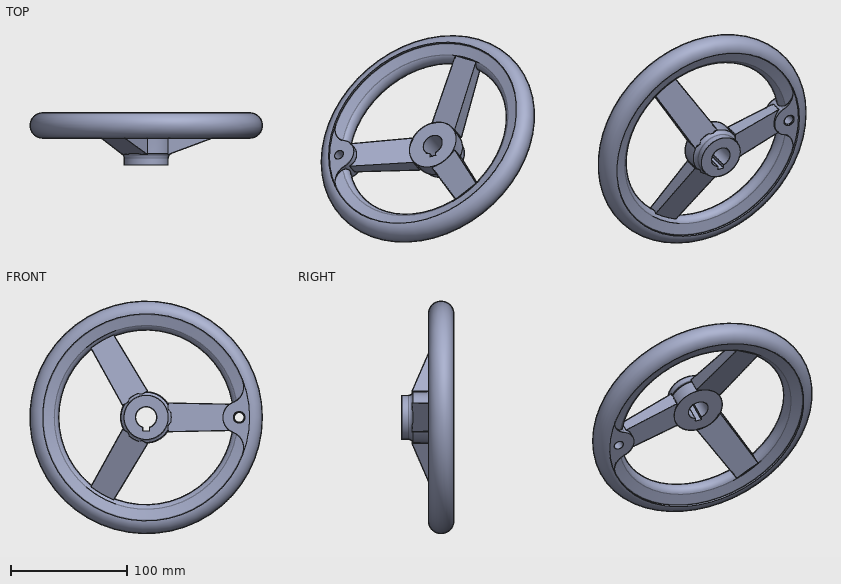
import cadquery as cq
import math


rim_radius = 100.0
rim_thickness = 22.0
rim_middle = rim_thickness / 2
rim_crown_radius = rim_radius - rim_middle
rim_bore_radius = 75.0
lip_width = 0.5
lip_depth = 2.0
recess_outer_radius = rim_crown_radius - lip_width
recess_inner_radius = 79.0
recess_cone_depth = 2.5

hub_front = 45.0
hub_length = 24.0
hub_back = hub_front - hub_length
hub_neck_radius = 19.0
hub_neck_length = 6.0
hub_flare_start = hub_front - hub_neck_length
hub_flare_radius = 4.0
hub_shoulder_radius = 21.6
hub_back_radius = 22.1
bore_diameter = 18.0
keyway_width = 5.5
keyway_reach = 11.6

spoke_count = 3
spoke_start_radius = hub_neck_radius
spoke_end_radius = 78.0
spoke_front_angle = 20.4
spoke_front_apex = 43.1
spoke_back_angle = 16.8
spoke_back_apex = 27.8
spoke_root_width = 25.6
spoke_end_width = 22.6

handle_offset = 80.0
boss_radius = 14.0
boss_blend_radius = 14.0
boss_front = rim_thickness - lip_depth
boss_back = lip_depth
handle_hole_diameter = 8.38
handle_mouth_diameter = 10.0


def on_circle(center, radius, angle):
    """Point on a circle at an angle in radians."""
    return (center[0] + radius * math.cos(angle), center[1] + radius * math.sin(angle))


def mirrored(point):
    """Point reflected in the X axis."""
    return (point[0], -point[1])


def revolve_about_axle(profile):
    return profile.revolve(360, (0, 0, 0), (0, 1, 0))


def make_rim():
    """Ring with a half-round crown, a rounded bore and a stepped conical recess on each side."""
    front_step = rim_thickness - lip_depth
    front_nose = front_step - recess_cone_depth
    back_step = lip_depth
    back_nose = back_step + recess_cone_depth
    profile = (
        cq.Workplane("XZ")
        .moveTo(rim_crown_radius, 0)
        .threePointArc((rim_radius, rim_middle), (rim_crown_radius, rim_thickness))
        .lineTo(rim_crown_radius, front_step)
        .lineTo(recess_outer_radius, front_step)
        .lineTo(recess_inner_radius, front_nose)
        .threePointArc((rim_bore_radius, rim_middle), (recess_inner_radius, back_nose))
        .lineTo(recess_outer_radius, back_step)
        .lineTo(rim_crown_radius, back_step)
        .close()
    )
    return revolve_about_axle(profile)


def flare_height(radius):
    """Height of the concave flare between the hub neck and its shoulder."""
    flare_center = hub_neck_radius + hub_flare_radius
    return hub_flare_start - math.sqrt(hub_flare_radius**2 - (flare_center - radius) ** 2)


def make_hub():
    """Slightly tapered hub whose front neck flares out to the shoulder."""
    flare_middle = (hub_neck_radius + hub_shoulder_radius) / 2
    profile = (
        cq.Workplane("XZ")
        .moveTo(0, hub_back)
        .lineTo(hub_back_radius, hub_back)
        .lineTo(hub_shoulder_radius, flare_height(hub_shoulder_radius))
        .threePointArc((flare_middle, flare_height(flare_middle)), (hub_neck_radius, hub_flare_start))
        .lineTo(hub_neck_radius, hub_front)
        .lineTo(0, hub_front)
        .close()
    )
    return revolve_about_axle(profile)


def spoke_front(radius):
    """Height of the sloping front face of a spoke."""
    return spoke_front_apex - radius * math.tan(math.radians(spoke_front_angle))


def spoke_back(radius):
    """Height of the sloping back face of a spoke."""
    return spoke_back_apex - radius * math.tan(math.radians(spoke_back_angle))


def make_spoke():
    """Sloping bar along +X that gets narrower and thinner towards the rim."""
    side_outline = [
        (spoke_start_radius, spoke_front(spoke_start_radius)),
        (spoke_end_radius, spoke_front(spoke_end_radius)),
        (spoke_end_radius, spoke_back(spoke_end_radius)),
        (spoke_start_radius, spoke_back(spoke_start_radius)),
    ]
    plan_outline = [
        (0, -spoke_root_width / 2),
        (spoke_end_radius, -spoke_end_width / 2),
        (spoke_end_radius, spoke_end_width / 2),
        (0, spoke_root_width / 2),
    ]
    side = cq.Workplane("XZ").polyline(side_outline).close().extrude(spoke_root_width, both=True)
    plan = cq.Workplane("XY").polyline(plan_outline).close().extrude(hub_front)
    return side.intersect(plan)


def make_handle_boss():
    """Boss for the handle, blended by tangent arcs into the outer circle of the recess."""
    blend_distance = recess_outer_radius - boss_blend_radius
    boss_distance = boss_radius + boss_blend_radius
    blend_x = (blend_distance**2 + handle_offset**2 - boss_distance**2) / (2 * handle_offset)
    blend_center = (blend_x, math.sqrt(blend_distance**2 - blend_x**2))

    tip_angle = math.atan2(blend_center[1], blend_center[0])
    neck_angle = math.atan2(-blend_center[1], handle_offset - blend_center[0])
    tip = on_circle(blend_center, boss_blend_radius, tip_angle)
    neck = on_circle(blend_center, boss_blend_radius, neck_angle)
    blend_middle = on_circle(blend_center, boss_blend_radius, (tip_angle + neck_angle) / 2)
    return (
        cq.Workplane("XY", origin=(0, 0, boss_back))
        .moveTo(*tip)
        .threePointArc(blend_middle, neck)
        .threePointArc((handle_offset - boss_radius, 0), mirrored(neck))
        .threePointArc(mirrored(blend_middle), mirrored(tip))
        .threePointArc((recess_outer_radius, 0), tip)
        .close()
        .extrude(boss_front - boss_back)
    )


def make_keyed_bore():
    """Shaft bore with a keyway on the -Y side, which ends up facing -Z."""
    bore = cq.Workplane("XY").circle(bore_diameter / 2).extrude(hub_front)
    keyway = (
        cq.Workplane("XY")
        .center(0, -keyway_reach / 2)
        .rect(keyway_width, keyway_reach)
        .extrude(hub_front)
    )
    return bore.union(keyway)


def make_handle_hole():
    """Through hole for the handle with a 45 degree countersunk mouth in front."""
    mouth_depth = (handle_mouth_diameter - handle_hole_diameter) / 2
    hole = cq.Workplane("XY").center(handle_offset, 0).circle(handle_hole_diameter / 2).extrude(boss_front)
    mouth = (
        cq.Workplane("XY", origin=(handle_offset, 0, boss_front))
        .circle(handle_mouth_diameter / 2)
        .workplane(offset=-mouth_depth)
        .circle(handle_hole_diameter / 2)
        .loft()
    )
    return hole.union(mouth)


wheel = make_rim().union(make_hub())
for index in range(spoke_count):
    turn = index * 360 / spoke_count
    wheel = wheel.union(make_spoke().rotate((0, 0, 0), (0, 0, 1), turn))
wheel = wheel.union(make_handle_boss())
wheel = wheel.cut(make_keyed_bore()).cut(make_handle_hole())

result = wheel.rotate((0, 0, 0), (1, 0, 0), 90)